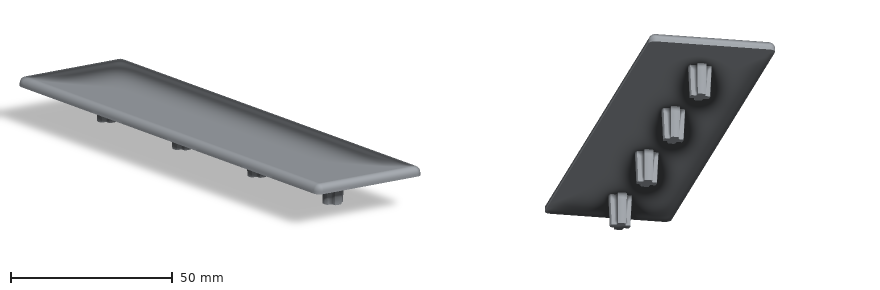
import cadquery as cq

length = 160.0
width = 40.0
thickness = 3.0
edge_radius = 2.0

total_height = 13.0
peg_length = total_height - thickness
peg_count = 4
peg_pitch = length / peg_count
peg_top_radius = 3.7
peg_tip_radius = 3.2
rib_top_thickness = 2.9
rib_tip_thickness = 2.5
rib_root_radius = 0.5


def make_plate():
    """Plate with its underside on Z = 0, rounded corners and a rounded top edge."""
    plate = cq.Workplane("XY").box(length, width, thickness, centered=(True, True, False))
    return plate.edges("|Z or >Z").fillet(edge_radius)


def make_rib():
    """One rib along X, thinning towards the tip and overrunning the round peg envelope."""
    rib_span = 4 * peg_top_radius
    return (
        cq.Workplane("XY")
        .rect(rib_span, rib_top_thickness)
        .workplane(offset=-peg_length)
        .rect(rib_span, rib_tip_thickness)
        .loft(ruled=True)
    )


def make_peg():
    """Cross-shaped peg hanging from Z = 0, narrowing towards its tip."""
    envelope = (
        cq.Workplane("XY")
        .circle(peg_top_radius)
        .workplane(offset=-peg_length)
        .circle(peg_tip_radius)
        .loft()
    )
    lengthwise = make_rib()
    crosswise = lengthwise.rotate((0, 0, 0), (0, 0, 1), 90)
    cross = lengthwise.union(crosswise)
    inner_corners = cq.selectors.BoxSelector(
        (-rib_top_thickness, -rib_top_thickness, -peg_length),
        (rib_top_thickness, rib_top_thickness, 0),
    )
    cross = cross.edges("not(#Z)").edges(inner_corners).fillet(rib_root_radius)
    return envelope.intersect(cross)


result = make_plate()
peg = make_peg()
for index in range(peg_count):
    peg_x = (index - (peg_count - 1) / 2) * peg_pitch
    result = result.union(peg.translate((peg_x, 0, 0)))